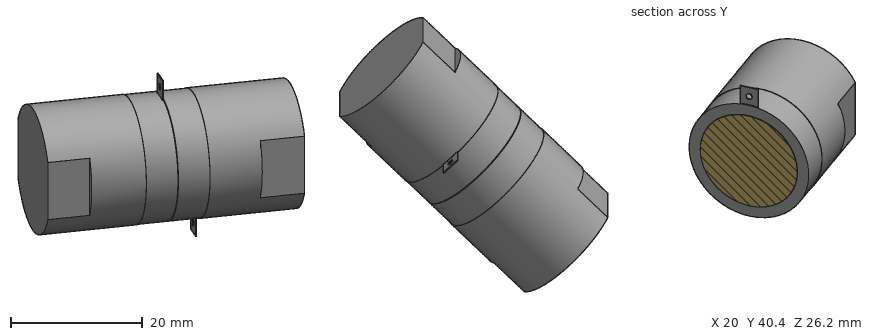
import cadquery as cq

length = 40.4
mass_radius = 10.0
height_over_tabs = 26.2

stack_radius = 9.95
stack_length = 10.02
groove_width = 0.1
groove_floor_radius = 8.1

flat_width = 17.65
back_flat_length = 7.0
front_flat_length = 6.6

tab_width = 3.05
tab_thickness = 0.15
tab_root = 8.1
tab_tip = height_over_tabs / 2
tab_hole_diameter = 0.95
tab_hole_height = 11.48
stack_tab_offset = 0.1

half_length = length / 2
half_stack = stack_length / 2


def cylinder(radius, y_start, y_end):
    """Solid cylinder about the Y axis between two Y positions."""
    plane = cq.Workplane("XZ", origin=(0, y_end, 0))
    return plane.circle(radius).extrude(y_end - y_start)


def tab(y_start, side):
    """Thin drilled terminal plate, pointing up (side = 1) or down (side = -1)."""
    plane = cq.Workplane("XZ", origin=(0, y_start + tab_thickness, 0))
    plate = (
        plane.center(0, side * (tab_root + tab_tip) / 2)
        .rect(tab_width, tab_tip - tab_root)
        .extrude(tab_thickness)
    )
    hole = (
        plane.center(0, side * tab_hole_height)
        .circle(tab_hole_diameter / 2)
        .extrude(tab_thickness)
    )
    return plate.cut(hole)


def end_mass(y_start, y_end, flat_start, flat_end):
    """Cylindrical mass with two parallel wrench flats over part of its length."""
    flat_length = flat_end - flat_start
    blank = cylinder(mass_radius, y_start, y_end)
    flatted_stretch = cylinder(mass_radius, flat_start, flat_end)
    kept_core = cq.Workplane("XY").box(flat_width, flat_length, 2 * mass_radius).translate(
        (0, (flat_start + flat_end) / 2, 0)
    )
    return blank.cut(flatted_stretch.cut(kept_core))


back_mass = end_mass(half_stack, half_length, half_length - back_flat_length, half_length)
back_mass = back_mass.union(tab(half_stack, -1))

front_mass = end_mass(-half_length, -half_stack, -half_length, front_flat_length - half_length)

stack = cylinder(stack_radius, -half_stack, half_stack)
groove = cylinder(stack_radius, -groove_width / 2, groove_width / 2).cut(
    cylinder(groove_floor_radius, -groove_width / 2, groove_width / 2)
)
stack = stack.cut(groove).union(tab(-stack_tab_offset - tab_thickness, 1))

result = cq.Compound.makeCompound([back_mass.val(), stack.val(), front_mass.val()])